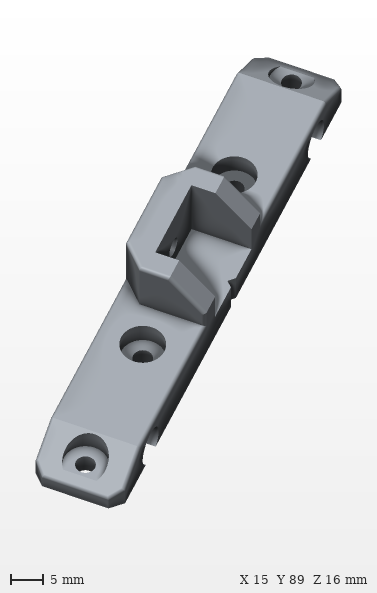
import cadquery as cq
import math

WIDTH = 15.0
LENGTH = 89.0
BASE_HEIGHT = 7.0
END_SLOPE_RUN = 7.9
END_SLOPE_ANGLE = 30.0
END_CORNER = 2.0
EDGE_RADIUS = 0.6

BLOCK_LENGTH = 22.0
BLOCK_TOP = 16.0
BLOCK_CORNER = 4.0
BLOCK_BEVEL = 6.05
POCKET_START = 5.0
POCKET_LENGTH = 14.2
POCKET_FLOOR = 5.0
NOTCH_DEPTH = 1.0

SCREW_DIAMETER = 3.2
HEAD_DIAMETER = 7.2
OUTER_SCREW_Y = 40.5
INNER_SCREW_Y = 18.0
HEAD_SEAT_HEIGHT = 3.5
CROSS_DIAMETER = 6.3
CROSS_Y = 32.5
CROSS_HEIGHT = 2.5
BLOCK_HOLE_HEIGHT = 8.8

HALF_LENGTH = LENGTH / 2
END_HEIGHT = BASE_HEIGHT - END_SLOPE_RUN * math.tan(math.radians(END_SLOPE_ANGLE))


def make_base():
    """Bar with sloping ends, cut corners and rounded upper edges."""
    slope_start = HALF_LENGTH - END_SLOPE_RUN
    base = (
        cq.Workplane("YZ")
        .polyline([
            (-HALF_LENGTH, 0),
            (HALF_LENGTH, 0),
            (HALF_LENGTH, END_HEIGHT),
            (slope_start, BASE_HEIGHT),
            (-slope_start, BASE_HEIGHT),
            (-HALF_LENGTH, END_HEIGHT),
        ])
        .close()
        .extrude(WIDTH)
    )
    base = base.edges("|Z").chamfer(END_CORNER)
    upper_rim = base.faces("#Z").edges("not(|Z or <Z)")
    return upper_rim.fillet(EDGE_RADIUS)


def make_block():
    """Full-height block with cut -X corners and a bevelled +X top edge, its outer edges rounded."""
    block = (
        cq.Workplane("XY")
        .box(WIDTH, BLOCK_LENGTH, BLOCK_TOP, centered=(False, True, False))
        .edges("|Z and <X")
        .chamfer(BLOCK_CORNER)
        .edges(">X and >Z")
        .chamfer(BLOCK_BEVEL)
    )
    bevel_middle = (WIDTH - BLOCK_BEVEL / 2, 0, BLOCK_TOP - BLOCK_BEVEL / 2)
    bevel_face = cq.selectors.NearestToPointSelector(bevel_middle)
    rim = block.faces(">Z").edges("not >X")
    rim = rim.add(block.faces(bevel_face).edges("not |Y"))
    rim = rim.add(block.edges("|Z and >X"))
    return rim.fillet(EDGE_RADIUS)


def make_pocket():
    """Recess in the block, open upward and toward +X, floored below the bar top."""
    return (
        cq.Workplane("XY", origin=(POCKET_START, 0, POCKET_FLOOR))
        .box(WIDTH, POCKET_LENGTH, BLOCK_TOP, centered=(False, True, False))
    )


def make_notch():
    """Right-angled vertical V groove in the +X face."""
    return (
        cq.Workplane("XY")
        .polyline([(WIDTH - NOTCH_DEPTH, 0), (WIDTH, NOTCH_DEPTH), (WIDTH, -NOTCH_DEPTH)])
        .close()
        .extrude(BLOCK_TOP)
    )


def make_screw_holes():
    """Four vertical screw holes with flat seats for the heads."""
    centers = [(WIDTH / 2, side * y) for side in (-1, 1) for y in (INNER_SCREW_Y, OUTER_SCREW_Y)]
    shanks = cq.Workplane("XY").pushPoints(centers).circle(SCREW_DIAMETER / 2).extrude(BLOCK_TOP)
    heads = (
        cq.Workplane("XY", origin=(0, 0, HEAD_SEAT_HEIGHT))
        .pushPoints(centers)
        .circle(HEAD_DIAMETER / 2)
        .extrude(BLOCK_TOP)
    )
    return shanks.union(heads)


def make_x_hole(y, z, diameter):
    """Hole across the full width, parallel to X."""
    return cq.Workplane("YZ").center(y, z).circle(diameter / 2).extrude(WIDTH)


result = make_base().union(make_block())
result = result.cut(make_pocket()).cut(make_notch()).cut(make_screw_holes())
result = result.cut(make_x_hole(0, BLOCK_HOLE_HEIGHT, SCREW_DIAMETER))
for cross_y in (-CROSS_Y, CROSS_Y):
    result = result.cut(make_x_hole(cross_y, CROSS_HEIGHT, CROSS_DIAMETER))